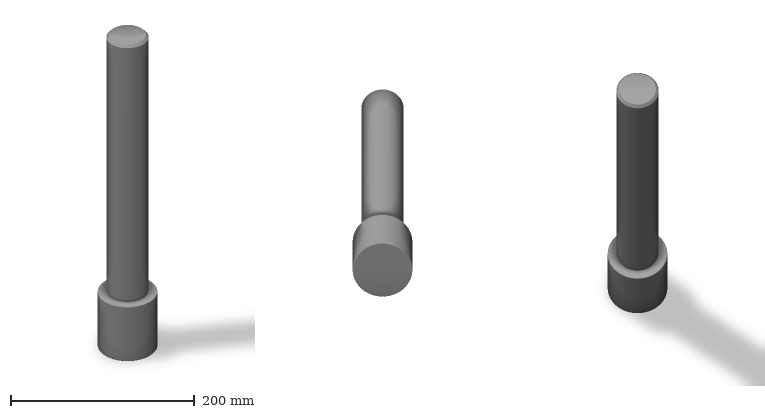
import cadquery as cq

total_length = 400.0
collar_diameter = 65.0
collar_length = 70.0
collar_chamfer = 0.5
shaft_diameter = 46.0
tip_chamfer = 3.0
neck_length = 3.0
neck_depth = 1.0

collar_radius = collar_diameter / 2
shaft_radius = shaft_diameter / 2
neck_radius = shaft_radius - neck_depth


def revolved_body():
    """Collar, undercut neck and shaft as one half profile turned about Z."""
    return (
        cq.Workplane("XZ")
        .lineTo(collar_radius - collar_chamfer, 0)
        .lineTo(collar_radius, collar_chamfer)
        .lineTo(collar_radius, collar_length - collar_chamfer)
        .lineTo(collar_radius - collar_chamfer, collar_length)
        .lineTo(neck_radius, collar_length)
        .lineTo(neck_radius, collar_length + neck_length)
        .lineTo(shaft_radius, collar_length + neck_length)
        .lineTo(shaft_radius, total_length - tip_chamfer)
        .lineTo(shaft_radius - tip_chamfer, total_length)
        .lineTo(0, total_length)
        .close()
        .revolve(360, (0, 0, 0), (0, 1, 0))
    )


result = revolved_body()